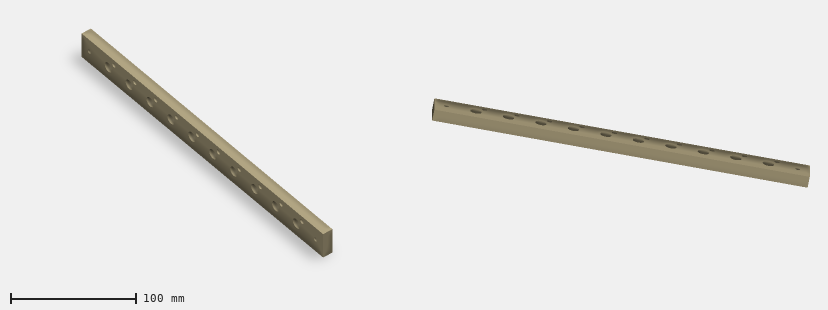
import cadquery as cq

length = 304.8
thickness = 9.5
height = 25.3

hole_count = 10
row_length = 237.5
hole_pitch = row_length / (hole_count - 1)
large_diameter = 9.0
small_diameter = 4.3
small_offset_x = 7.0
small_offset_z = 7.3

mount_diameter = 4.0
mount_edge_distance = 9.8

row_start = -row_length / 2
large_centers = [(row_start + i * hole_pitch, 0) for i in range(hole_count)]
small_centers = [(x + small_offset_x, z + small_offset_z) for x, z in large_centers]
mount_x = length / 2 - mount_edge_distance
mount_centers = [(-mount_x, 0), (mount_x, 0)]


def drill(body, centers, diameter):
    """Cut holes through the thickness at the given (x, z) centers."""
    return body.faces("<Y").workplane(origin=(0, 0, 0)).pushPoints(centers).hole(diameter)


result = cq.Workplane("XY").box(length, thickness, height)
result = drill(result, large_centers, large_diameter)
result = drill(result, small_centers, small_diameter)
result = drill(result, mount_centers, mount_diameter)